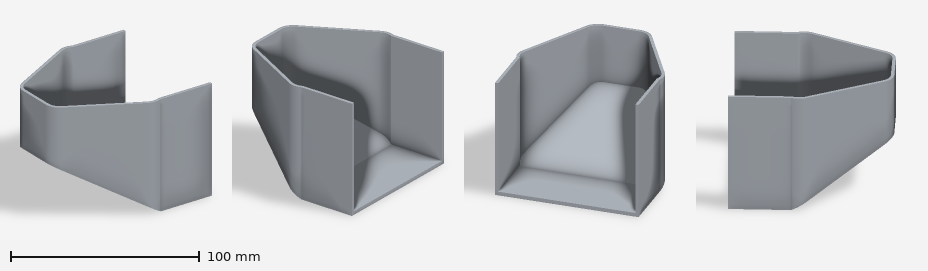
import cadquery as cq
import math

length = 86.9
height = 65.9
max_width = 82.5
rear_width = 80.8
nose_flat = 20.3
corner_radius = 9.55
wall = 1.8
floor_height = 2.2
bend_y = 10.1
nose_rise = 31.8

rear_y = length / 2
nose_y = -length / 2

nose_centre = (nose_flat / 2, nose_y + corner_radius)
bulge_x = max_width / 2 - corner_radius
bulge_drop = math.sqrt(corner_radius**2 - (rear_width / 2 - bulge_x) ** 2)
bulge_centre = (bulge_x, bend_y - bulge_drop)

slant = math.atan2(bulge_centre[0] - nose_centre[0], bulge_centre[1] - nose_centre[1])


def on_arc(centre, radius, angle):
    """Point on a bend at an angle from the X axis."""
    return (centre[0] + radius * math.cos(angle), centre[1] + radius * math.sin(angle))


def mirrored(point):
    return (-point[0], point[1])


def plan_prism(inset, end_y):
    """Full-height prism of the plan outline, moved inward by inset and open-ended at end_y."""
    radius = corner_radius - inset
    side_x = rear_width / 2 - inset
    side_angle = math.acos((side_x - bulge_x) / radius)
    nose_angle = (-slant - math.pi / 2) / 2

    side_end = (side_x, end_y)
    bulge_start = on_arc(bulge_centre, radius, side_angle)
    bulge_middle = on_arc(bulge_centre, radius, 0)
    bulge_end = on_arc(bulge_centre, radius, -slant)
    nose_start = on_arc(nose_centre, radius, -slant)
    nose_middle = on_arc(nose_centre, radius, nose_angle)
    nose_end = on_arc(nose_centre, radius, -math.pi / 2)

    return (
        cq.Workplane("XY")
        .moveTo(*side_end)
        .lineTo(*bulge_start)
        .threePointArc(bulge_middle, bulge_end)
        .lineTo(*nose_start)
        .threePointArc(nose_middle, nose_end)
        .lineTo(*mirrored(nose_end))
        .threePointArc(mirrored(nose_middle), mirrored(nose_start))
        .lineTo(*mirrored(bulge_end))
        .threePointArc(mirrored(bulge_middle), mirrored(bulge_start))
        .lineTo(*mirrored(side_end))
        .close()
        .extrude(height)
    )


def space_above(lift):
    """Region between the underside raised by lift and the top plane."""
    return (
        cq.Workplane("YZ")
        .polyline([
            (rear_y, lift),
            (bend_y, lift),
            (nose_y, nose_rise + lift),
            (nose_y, height),
            (rear_y, height),
        ])
        .close()
        .extrude(max_width / 2, both=True)
    )


body = plan_prism(0, rear_y).intersect(space_above(0))
cavity = plan_prism(wall, rear_y).intersect(space_above(floor_height))
result = body.cut(cavity)